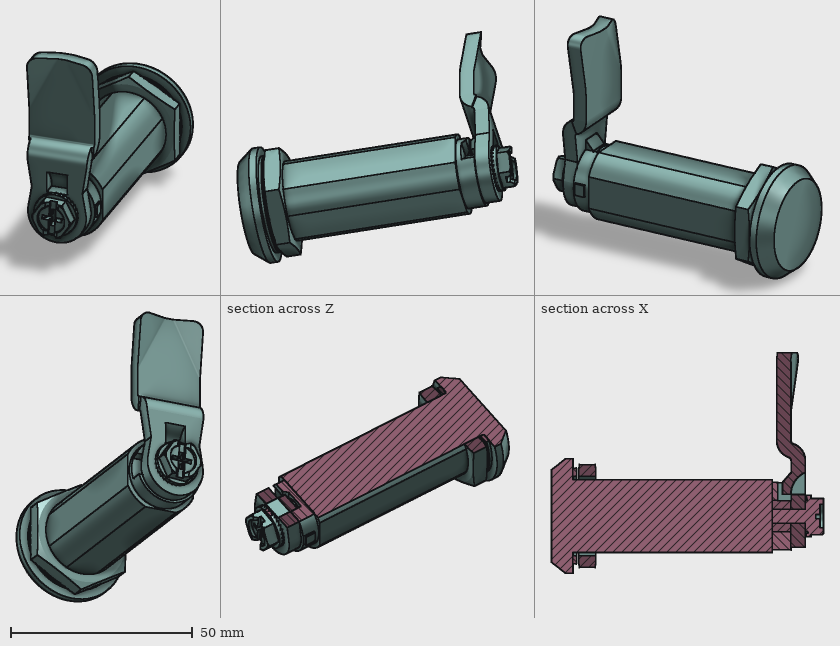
import cadquery as cq
import math


flange_diameter = 32.0
flange_face_radius = 13.0
flange_cone_depth = 3.9
flange_depth = 6.0
body_radius = 11.1
body_half_flats = 10.05
body_end_depth = 60.9

gasket_radius = 13.5
gasket_end_depth = 7.05
gasket_chamfer = 0.2
nub_inner_radius = 11.8
nub_outer_radius = 13.05
nub_width = 1.65
nub_count = 4
nub_turn = 3.3

nut_start_depth = 7.5
nut_end_depth = 12.3
nut_half_flats = 13.5
nut_face_radius = 13.35
nut_corner_drop = 0.45

ring_radius = 9.7
ring_end_depth = 66.0
channel_floor_depth = 62.4
plateau_depth = 63.6
spindle_radius = 4.9
lug_reach = 10.1
lug_half_width = 1.7
lug_length = 3.0

cam_thickness = 4.0
cam_top = 45.0
cam_half_width = 9.6
cam_corner_radius = 3.0
bend_inner_radius = 1.0
bend_bottom = 15.2
neck_half_width = 7.4
shoulder_half_width = 8.7
lower_bend_half_width = 8.9
upper_bend_half_width = 9.1
neck_height = 7.0
hub_radius = 8.55
hub_center_height = -0.45
tab_half_width = 3.0
tab_bottom = 6.0
tab_top = 12.0
tab_shoulder = 9.2
crease_top_x = 1.35
crease_edge_height = 28.65
wing_angle = 17.5
wing_bend_radius = 1.8

screw_end_depth = 75.0
screw_turn = 3.5
screw_flange_radius = 6.2
screw_flange_thickness = 1.6
tooth_count = 30
tooth_height = 0.7
tooth_inner_radius = 4.9
head_half_flats = 5.0
head_chamfer = 0.45
shank_radius = 3.0
dish_radius = 4.0
dish_depth = 1.0
slot_width = 1.95
slot_depth = 1.9
cross_half_length = 2.9
cross_tip_half_length = 1.8
cross_width = 1.1
cross_depth = 2.25

flange_radius = flange_diameter / 2
channel_half_width = tab_half_width
cam_back_depth = ring_end_depth
cam_front_depth = cam_back_depth + cam_thickness
blade_back_depth = cam_back_depth - cam_thickness
head_start_depth = cam_front_depth + screw_flange_thickness


def at_depth(depth):
    """Workplane across the lock axis; extruding from it goes toward the cam end."""
    return cq.Workplane("XZ", origin=(0, -depth, 0))


def disc(radius, start_depth, end_depth):
    return at_depth(start_depth).circle(radius).extrude(end_depth - start_depth)


def block(x_range, depth_range, z_range):
    """Box between two X values, two depths and two Z values."""
    x_size = x_range[1] - x_range[0]
    z_size = z_range[1] - z_range[0]
    outline = at_depth(depth_range[0]).center(sum(x_range) / 2, sum(z_range) / 2).rect(x_size, z_size)
    return outline.extrude(depth_range[1] - depth_range[0])


def turned(profile):
    """Solid of revolution about the lock axis from (radius, depth) points."""
    points = [(radius, -depth) for radius, depth in profile]
    return cq.Workplane("XY").polyline(points).close().revolve(360, (0, 0, 0), (0, 1, 0))


def side_prism(profile, half_width):
    """Prism along X from (depth, z) points, centred on x = 0."""
    points = [(-depth, z) for depth, z in profile]
    return cq.Workplane("YZ").polyline(points).close().extrude(half_width, both=True)


def turn_about_axis(solid, angle):
    """Turn about the lock axis; positive is clockwise for someone facing +Y."""
    return solid.rotate((0, 0, 0), (0, 1, 0), angle)


def hexagon(half_flats, start_depth, end_depth):
    """Hexagonal prism with two corners on the X axis."""
    corner_diameter = 2 * half_flats / math.cos(math.radians(30))
    return at_depth(start_depth).polygon(6, corner_diameter).extrude(end_depth - start_depth)


def make_housing():
    flange = turned([
        (0, 0),
        (flange_face_radius, 0),
        (flange_radius, flange_cone_depth),
        (flange_radius, flange_depth),
        (0, flange_depth),
    ])
    body = disc(body_radius, flange_depth, body_end_depth)
    flats = at_depth(flange_depth).rect(2 * body_half_flats, 2 * body_half_flats)
    body = body.intersect(flats.extrude(body_end_depth - flange_depth))
    return flange.union(body)


def make_gasket():
    ring = disc(gasket_radius, flange_depth, gasket_end_depth).faces("<Y").edges().chamfer(gasket_chamfer)
    nub = block(
        (nub_inner_radius, nub_outer_radius),
        (flange_depth, nut_start_depth),
        (-nub_width / 2, nub_width / 2),
    )
    for index in range(nub_count):
        ring = ring.union(turn_about_axis(nub, -nub_turn + index * 360 / nub_count))
    return ring.cut(disc(body_radius, flange_depth, nut_start_depth))


def make_nut():
    corner_radius = nut_half_flats / math.cos(math.radians(30))
    envelope = turned([
        (0, nut_start_depth),
        (nut_face_radius, nut_start_depth),
        (corner_radius, nut_start_depth + nut_corner_drop),
        (corner_radius, nut_end_depth - nut_corner_drop),
        (nut_face_radius, nut_end_depth),
        (0, nut_end_depth),
    ])
    prism = turn_about_axis(hexagon(nut_half_flats, nut_start_depth, nut_end_depth), 30)
    return prism.intersect(envelope).cut(disc(body_radius, nut_start_depth, nut_end_depth))


def make_stop_channel():
    """Channel running up from the axis, with a ramp on its -X side up to the plateau."""
    ramp = plateau_depth - channel_floor_depth
    section = [
        (channel_half_width, -channel_floor_depth),
        (channel_half_width, -ring_end_depth),
        (-channel_half_width - ramp, -ring_end_depth),
        (-channel_half_width - ramp, -plateau_depth),
        (-channel_half_width, -channel_floor_depth),
    ]
    return cq.Workplane("XY").polyline(section).close().extrude(ring_radius)


def make_stop_ring():
    ring = disc(ring_radius, body_end_depth, ring_end_depth)
    lug = block(
        (spindle_radius, lug_reach),
        (channel_floor_depth, channel_floor_depth + lug_length),
        (-lug_half_width, lug_half_width),
    )
    plateau = block((-ring_radius, 0), (plateau_depth, ring_end_depth), (0, ring_radius))
    top_channel = make_stop_channel()
    side_channel = turn_about_axis(top_channel.mirror("YZ"), -90)
    ring = ring.union(lug).cut(plateau).cut(top_channel).cut(side_channel)
    return ring.cut(disc(spindle_radius, body_end_depth, ring_end_depth))


def make_spindle():
    spindle = disc(spindle_radius, body_end_depth, ring_end_depth)
    return spindle.cut(disc(shank_radius, body_end_depth, ring_end_depth))


bend_outer_radius = bend_inner_radius + cam_thickness
bend_sweep = math.acos(2 * bend_inner_radius / (bend_inner_radius + bend_outer_radius))
bend_top = bend_bottom + (bend_inner_radius + bend_outer_radius) * math.sin(bend_sweep)


def extrude_cam_outline(outline):
    """Prism across the whole depth of the cam from an X-Z outline."""
    return outline.close().extrude(4 * cam_thickness)


def start_cam_outline():
    return at_depth(blade_back_depth - cam_thickness)


def make_lower_outline():
    """X-Z outline of the hub, the neck and the lower bend."""
    neck_rise = neck_height - hub_center_height
    hub_angle = math.atan2(neck_rise, neck_half_width)
    hub_angle -= math.acos(hub_radius / math.hypot(neck_half_width, neck_rise))
    tangent_x = hub_radius * math.cos(hub_angle)
    tangent_z = hub_center_height + hub_radius * math.sin(hub_angle)
    return extrude_cam_outline(
        start_cam_outline()
        .moveTo(tangent_x, tangent_z)
        .lineTo(neck_half_width, neck_height)
        .lineTo(shoulder_half_width, bend_bottom)
        .lineTo(lower_bend_half_width, bend_top)
        .lineTo(-lower_bend_half_width, bend_top)
        .lineTo(-shoulder_half_width, bend_bottom)
        .lineTo(-neck_half_width, neck_height)
        .lineTo(-tangent_x, tangent_z)
        .threePointArc((0, hub_center_height - hub_radius), (tangent_x, tangent_z))
    )


def make_upper_outline():
    """X-Z outline of the upper bend and the blade with its rounded corners."""
    outline = extrude_cam_outline(
        start_cam_outline()
        .moveTo(upper_bend_half_width, bend_bottom)
        .lineTo(cam_half_width, bend_top)
        .lineTo(cam_half_width, cam_top)
        .lineTo(-cam_half_width, cam_top)
        .lineTo(-cam_half_width, bend_top)
        .lineTo(-upper_bend_half_width, bend_bottom)
    )
    return outline.edges("|Y and >Z").fillet(cam_corner_radius)


def make_lower_sheet():
    """Lower plate with the bend that turns it back toward the housing."""
    center_y = bend_outer_radius - cam_front_depth
    sheet_bottom = hub_center_height - 2 * hub_radius

    def on_bend(radius, angle):
        return (center_y - radius * math.cos(angle), bend_bottom + radius * math.sin(angle))

    return (
        cq.Workplane("YZ")
        .moveTo(-cam_back_depth, sheet_bottom)
        .lineTo(*on_bend(bend_inner_radius, 0))
        .threePointArc(on_bend(bend_inner_radius, bend_sweep / 2), on_bend(bend_inner_radius, bend_sweep))
        .lineTo(*on_bend(bend_outer_radius, bend_sweep))
        .threePointArc(on_bend(bend_outer_radius, bend_sweep / 2), on_bend(bend_outer_radius, 0))
        .lineTo(-cam_front_depth, sheet_bottom)
        .close()
        .extrude(cam_half_width, both=True)
    )


def make_upper_bend():
    """Bend that turns the sheet upright again below the blade."""
    center_y = -blade_back_depth - bend_outer_radius

    def on_bend(radius, angle):
        return (center_y + radius * math.cos(angle), bend_top - radius * math.sin(angle))

    return (
        cq.Workplane("YZ")
        .moveTo(*on_bend(bend_outer_radius, 0))
        .lineTo(*on_bend(bend_inner_radius, 0))
        .threePointArc(on_bend(bend_inner_radius, bend_sweep / 2), on_bend(bend_inner_radius, bend_sweep))
        .lineTo(*on_bend(bend_outer_radius, bend_sweep))
        .threePointArc(on_bend(bend_outer_radius, bend_sweep / 2), on_bend(bend_outer_radius, 0))
        .close()
        .extrude(cam_half_width, both=True)
    )


def make_half_blade():
    """The +X half of the blade, its upper corner folded toward the cam end along a slanted crease."""
    run = cam_half_width - crease_top_x
    rise = cam_top - crease_edge_height
    length = math.hypot(run, rise)
    fold = math.radians(wing_angle)
    wing_outer_radius = wing_bend_radius + cam_thickness
    fold_start = -wing_bend_radius * math.tan(fold / 2)
    center_y = -cam_back_depth - wing_bend_radius

    def on_fold(radius, angle, along=0):
        across = fold_start + radius * math.sin(angle) + along * math.cos(angle)
        return (across, center_y + radius * math.cos(angle) - along * math.sin(angle))

    across_crease = cq.Plane(
        origin=(cam_half_width, 0, crease_edge_height),
        xDir=(rise / length, 0, run / length),
        normal=(-run / length, 0, rise / length),
    )
    sheet = (
        cq.Workplane(across_crease)
        .moveTo(-cam_top, -cam_back_depth)
        .lineTo(*on_fold(wing_bend_radius, 0))
        .threePointArc(on_fold(wing_bend_radius, fold / 2), on_fold(wing_bend_radius, fold))
        .lineTo(*on_fold(wing_bend_radius, fold, cam_half_width))
        .lineTo(*on_fold(wing_outer_radius, fold, cam_half_width))
        .lineTo(*on_fold(wing_outer_radius, fold))
        .threePointArc(on_fold(wing_outer_radius, fold / 2), on_fold(wing_outer_radius, 0))
        .lineTo(-cam_top, -blade_back_depth)
        .close()
        .extrude(cam_top, both=True)
    )
    room = block(
        (0, cam_half_width),
        (blade_back_depth - cam_thickness, cam_front_depth + cam_thickness),
        (bend_top, cam_top),
    )
    return sheet.intersect(room)


def make_stop_tab():
    """Tab pressed out of the back of the cam, running in the channels of the stop ring."""
    return side_prism([
        (cam_back_depth, tab_bottom),
        (plateau_depth, tab_bottom),
        (plateau_depth, tab_shoulder),
        (cam_back_depth, tab_top),
    ], tab_half_width)


def make_tab_pocket():
    """Round-backed hollow in the front of the cam, tangent to the back face of the cam at its lower edge."""
    height = tab_top - tab_bottom
    radius = (height ** 2 + cam_thickness ** 2) / (2 * cam_thickness)
    barrel = (
        cq.Workplane("YZ", origin=(-tab_half_width, -cam_back_depth - radius, tab_bottom))
        .circle(radius)
        .extrude(2 * tab_half_width)
    )
    window = block(
        (-tab_half_width, tab_half_width),
        (cam_back_depth, cam_front_depth),
        (tab_bottom, tab_top),
    )
    return barrel.intersect(window)


def make_cam():
    half_blade = make_half_blade()
    upper_sheet = make_upper_bend().union(half_blade).union(half_blade.mirror("YZ"))
    cam = make_lower_sheet().intersect(make_lower_outline())
    cam = cam.union(upper_sheet.intersect(make_upper_outline())).union(make_stop_tab())
    return cam.cut(make_tab_pocket()).cut(disc(shank_radius, cam_back_depth, cam_front_depth))


def cut_teeth(screw):
    """Saw-tooth notches around the side of the flange that bites into the cam."""
    pitch = 2 * math.pi * screw_flange_radius / tooth_count
    notch = (
        cq.Workplane("YZ", origin=(tooth_inner_radius, -cam_front_depth, 0))
        .polyline([(0, 0), (0, pitch), (-tooth_height, 0)])
        .close()
        .extrude(screw_flange_radius)
    )
    for index in range(tooth_count):
        screw = screw.cut(turn_about_axis(notch, index * 360 / tooth_count))
    return screw


def make_slot():
    """Screwdriver slot along Z, its mouth flared through the raised rim."""
    half = slot_width / 2
    section = [
        (-half - dish_depth, -screw_end_depth),
        (-half, -screw_end_depth + dish_depth),
        (-half, -screw_end_depth + slot_depth),
        (half, -screw_end_depth + slot_depth),
        (half, -screw_end_depth + dish_depth),
        (half + dish_depth, -screw_end_depth),
    ]
    return cq.Workplane("XY").polyline(section).close().extrude(screw_flange_radius, both=True)


def make_cross_recess():
    """Two crossed blades that narrow toward the bottom of the recess."""
    floor_depth = screw_end_depth - dish_depth
    blade = side_prism([
        (floor_depth, -cross_half_length),
        (floor_depth, cross_half_length),
        (floor_depth - cross_depth, cross_tip_half_length),
        (floor_depth - cross_depth, -cross_tip_half_length),
    ], cross_width / 2)
    return blade.union(turn_about_axis(blade, 90))


def make_screw():
    corner_radius = head_half_flats / math.cos(math.radians(30))
    head_envelope = disc(corner_radius, head_start_depth, screw_end_depth)
    head_envelope = head_envelope.faces("<Y").edges().chamfer(head_chamfer)
    head = hexagon(head_half_flats, head_start_depth, screw_end_depth).intersect(head_envelope)
    flange = cut_teeth(disc(screw_flange_radius, cam_front_depth, head_start_depth))
    shank = disc(shank_radius, body_end_depth, head_start_depth)
    dish = disc(dish_radius, screw_end_depth - dish_depth, screw_end_depth)
    screw = head.union(flange).union(shank)
    screw = screw.cut(dish).cut(make_slot()).cut(make_cross_recess())
    return turn_about_axis(screw, screw_turn)


housing = make_housing()
gasket = make_gasket()
nut = make_nut()
stop_ring = make_stop_ring()
spindle = make_spindle()
cam = make_cam()
screw = make_screw()

result = cq.Compound.makeCompound([
    housing.solids().val(),
    gasket.solids().val(),
    nut.solids().val(),
    stop_ring.solids().val(),
    spindle.solids().val(),
    cam.solids().val(),
    screw.solids().val(),
])